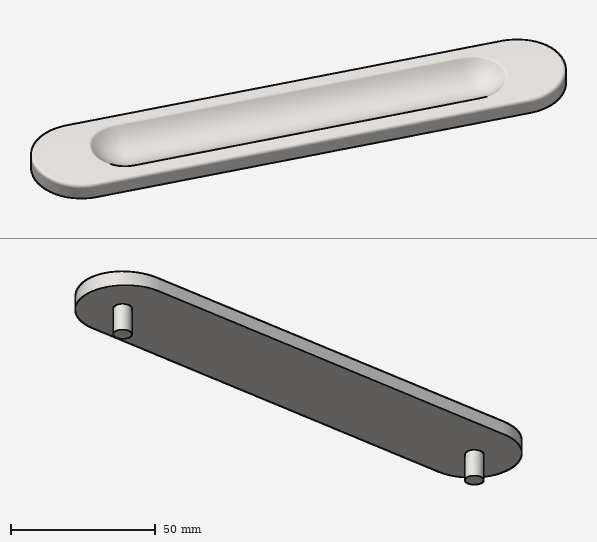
import cadquery as cq

length = 192.0
width = 35.0
crown_height = 6.3
side_height = 5.5
edge_round = 1.2

recess_width = 23.0
recess_straight = 125.5
rim_height = 6.0
rim_round = 1.0
floor_width = 2.0
floor_thickness = 1.0

pin_diameter = 6.5
pin_spacing = 159.7
total_height = 16.5
pin_length = total_height - crown_height


def make_plate():
    """Crowned bar trimmed to a stadium outline, with a rounded upper edge."""
    half_width = width / 2
    bar = (
        cq.Workplane("XZ")
        .moveTo(-half_width, 0)
        .lineTo(half_width, 0)
        .lineTo(half_width, side_height)
        .threePointArc((0, crown_height), (-half_width, side_height))
        .close()
        .extrude(length / 2, both=True)
    )
    outline = cq.Workplane("XY").slot2D(length, width, 90).extrude(crown_height)
    return bar.intersect(outline).faces(">Z").edges().fillet(edge_round)


def make_recess():
    """Cutter: a cylinder capped by spheres, flattened along its lowest line."""
    half_recess = recess_width / 2
    half_floor = floor_width / 2
    depth = rim_height - floor_thickness
    center_above_floor = (half_recess**2 - half_floor**2 + depth**2) / (2 * depth)
    radius = (center_above_floor**2 + half_floor**2) ** 0.5
    center_height = floor_thickness + center_above_floor

    trough = (
        cq.Workplane("XZ")
        .center(0, center_height)
        .circle(radius)
        .extrude(recess_straight / 2, both=True)
    )
    for side in (-1, 1):
        ball = cq.Workplane("XY").sphere(radius)
        trough = trough.union(ball.translate((0, side * recess_straight / 2, center_height)))

    above_floor = (
        cq.Workplane("XY")
        .workplane(offset=floor_thickness)
        .rect(width, length)
        .extrude(crown_height)
    )
    return trough.intersect(above_floor)


def round_rim(plate):
    """Round the edge where the recess meets the crowned top."""
    reach_x = recess_width / 2 + 2 * rim_round
    reach_y = recess_straight / 2 + reach_x
    rim_zone = cq.selectors.BoxSelector(
        (-reach_x, -reach_y, side_height),
        (reach_x, reach_y, crown_height),
    )
    return plate.edges(rim_zone).fillet(rim_round)


def make_pins():
    """Two round pins hanging below the plate."""
    half_spacing = pin_spacing / 2
    return (
        cq.Workplane("XY")
        .pushPoints([(0, -half_spacing), (0, half_spacing)])
        .circle(pin_diameter / 2)
        .extrude(-pin_length)
    )


recessed_plate = make_plate().cut(make_recess())
result = round_rim(recessed_plate).union(make_pins())